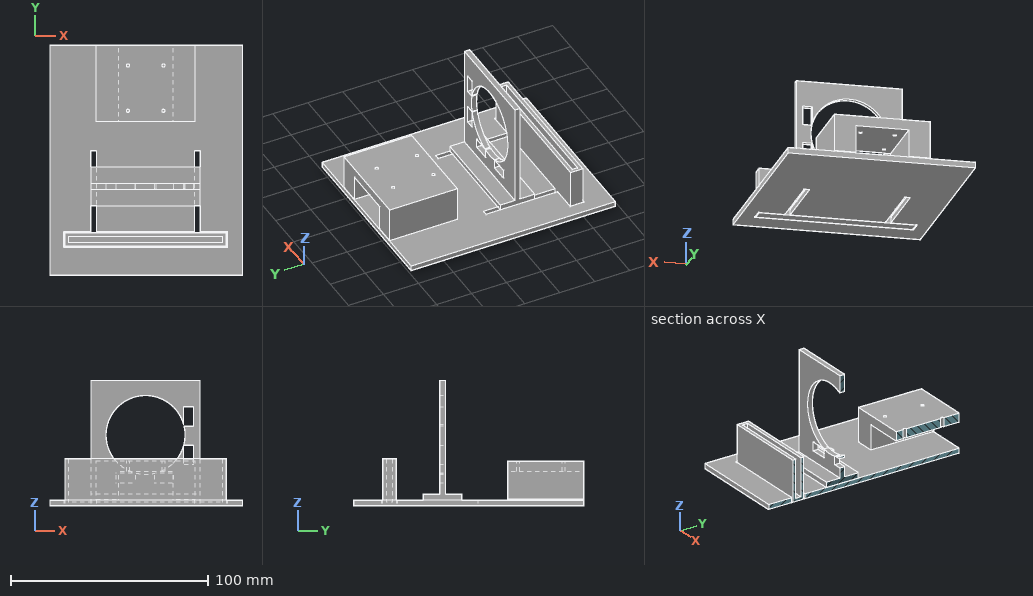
import cadquery as cq

BASE_WIDTH = 97.92
BASE_DEPTH = 116.85
BASE_THICKNESS = 3.0
FIXTURE_X = -0.35

HOLDER_WALL = 2.0
POCKET_WIDTH = 78.0
POCKET_DEPTH = 3.0
HOLDER_WIDTH = POCKET_WIDTH + 2 * HOLDER_WALL
HOLDER_DEPTH = POCKET_DEPTH + 2 * HOLDER_WALL
HOLDER_HEIGHT = BASE_THICKNESS + 21.0
HOLDER_Y = 18.2
HOLDER_CLEARANCE = 0.5

STAND_WIDTH = 55.4
STAND_THICKNESS = 3.0
STAND_TOP = 63.71
STAND_Y = 45.15
FOOT_DEPTH = 19.7
FOOT_HEIGHT = 3.0
WINDOW_DIAMETER = 40.0
WINDOW_Z = STAND_TOP - STAND_WIDTH / 2
OPENING_LENGTH = 9.8
OPENING_WIDTH = 5.0
OPENING_RADIAL = 21.8
OPENING_OFFSETS = (9.4, -10.1)

SLOT_WIDTH = 2.8
SLOT_BACK = 63.1

BRIDGE_WIDTH = 50.2
BRIDGE_DEPTH = 38.7
BRIDGE_HEIGHT = 19.5
BRIDGE_X = -0.3
BRIDGE_GAP = 0.3
BRIDGE_LEG = 11.3
BRIDGE_ROOF = 5.3
BRIDGE_BOTTOM = BASE_THICKNESS + BRIDGE_GAP
BRIDGE_Y = BASE_DEPTH - BRIDGE_DEPTH / 2
SCREW_DIAMETER = 1.6
SCREW_SPACING_X = 18.0
SCREW_SPACING_Y = 23.0
SCREW_INSET = 21.85
SCREW_Y = BASE_DEPTH - SCREW_INSET


def block(width, depth, height, x, y, z):
    """Box centred on (x, y) with its underside at z."""
    return cq.Workplane("XY").box(width, depth, height, centered=(True, True, False)).translate((x, y, z))


def make_base():
    base = block(BASE_WIDTH, BASE_DEPTH, BASE_THICKNESS, 0, BASE_DEPTH / 2, 0)
    cutout_width = HOLDER_WIDTH + 2 * HOLDER_CLEARANCE
    cutout_depth = HOLDER_DEPTH + 2 * HOLDER_CLEARANCE
    base = base.cut(block(cutout_width, cutout_depth, BASE_THICKNESS, FIXTURE_X, HOLDER_Y, 0))
    slot_length = SLOT_BACK - HOLDER_Y
    slot_y = HOLDER_Y + slot_length / 2
    slot_spread = (STAND_WIDTH - SLOT_WIDTH) / 2
    for side in (-1, 1):
        slot_x = FIXTURE_X + side * slot_spread
        base = base.cut(block(SLOT_WIDTH, slot_length, BASE_THICKNESS, slot_x, slot_y, 0))
    return base


def make_holder():
    body = block(HOLDER_WIDTH, HOLDER_DEPTH, HOLDER_HEIGHT, FIXTURE_X, HOLDER_Y, 0)
    pocket_height = HOLDER_HEIGHT - HOLDER_WALL
    return body.cut(block(POCKET_WIDTH, POCKET_DEPTH, pocket_height, FIXTURE_X, HOLDER_Y, HOLDER_WALL))


def make_stand():
    plate_height = STAND_TOP - BASE_THICKNESS
    plate = block(STAND_WIDTH, STAND_THICKNESS, plate_height, FIXTURE_X, STAND_Y, BASE_THICKNESS)
    foot = block(STAND_WIDTH, FOOT_DEPTH, FOOT_HEIGHT, FIXTURE_X, STAND_Y, BASE_THICKNESS)
    window_plane = cq.Workplane("XZ", origin=(FIXTURE_X, STAND_Y, WINDOW_Z))
    window = window_plane.circle(WINDOW_DIAMETER / 2).extrude(STAND_THICKNESS / 2, both=True)
    side_openings = (
        window_plane.pushPoints([(OPENING_RADIAL, offset) for offset in OPENING_OFFSETS])
        .rect(OPENING_WIDTH, OPENING_LENGTH)
        .extrude(STAND_THICKNESS / 2, both=True)
    )
    window_centre = (FIXTURE_X, STAND_Y, WINDOW_Z)
    axis_end = (FIXTURE_X, STAND_Y + 1, WINDOW_Z)
    bottom_openings = side_openings.rotate(window_centre, axis_end, 90)
    return plate.union(foot).cut(window).cut(side_openings).cut(bottom_openings)


def make_bridge():
    body = block(BRIDGE_WIDTH, BRIDGE_DEPTH, BRIDGE_HEIGHT, BRIDGE_X, BRIDGE_Y, BRIDGE_BOTTOM)
    channel_width = BRIDGE_WIDTH - 2 * BRIDGE_LEG
    channel_height = BRIDGE_HEIGHT - BRIDGE_ROOF
    channel = block(channel_width, BRIDGE_DEPTH, channel_height, BRIDGE_X, BRIDGE_Y, BRIDGE_BOTTOM)
    screw_holes = (
        cq.Workplane("XY", origin=(BRIDGE_X, SCREW_Y, BRIDGE_BOTTOM + channel_height))
        .rarray(SCREW_SPACING_X, SCREW_SPACING_Y, 2, 2)
        .circle(SCREW_DIAMETER / 2)
        .extrude(BRIDGE_ROOF)
    )
    return body.cut(channel).cut(screw_holes)


base = make_base()
holder = make_holder()
stand = make_stand()
bridge = make_bridge()

result = cq.Compound.makeCompound([base.val(), holder.val(), stand.val(), bridge.val()])